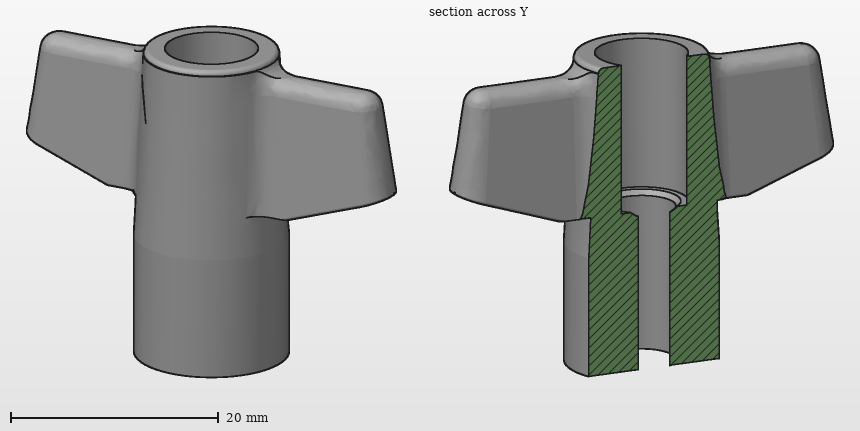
import cadquery as cq
import math

hub_height = 31.0
hub_diameter = 15.0
cylinder_height = 12.0
hub_top_diameter = 13.1
rim_radius = 0.5

bore_diameter = 6.65
bore_mouth_diameter = 7.6
bore_mouth_depth = 0.5
counterbore_diameter = 9.0
counterbore_depth = 15.0

wing_bottom = 16.0
wing_top = 29.6
bottom_half_span = 20.54
top_half_span = 18.4
bottom_half_width = 2.85
top_half_width = 1.73
bottom_tip_radius = 2.6
top_tip_radius = 1.7
crown_radius = 1.68
lower_edge_radius = 0.28

slope_start = 10.0
slope_end = 20.0
slope_rise = 3.4

root_radius = 2.4
root_blend_reach = 8.1

wing_split = 6.8

trim_margin = 4.0
tip_margin = 1.0
edge_margin = 0.1

hub_radius = hub_diameter / 2
hub_top_radius = hub_top_diameter / 2
rim_height = hub_height - rim_radius


def make_hub(extra_height):
    """Cylinder carrying a cone, with the cone continued past the hub top."""
    cone_slope = (hub_radius - hub_top_radius) / (hub_height - cylinder_height)
    end_radius = hub_top_radius - cone_slope * extra_height
    end_height = hub_height + extra_height
    return (
        cq.Workplane("XZ")
        .lineTo(hub_radius, 0)
        .lineTo(hub_radius, cylinder_height)
        .lineTo(end_radius, end_height)
        .lineTo(0, end_height)
        .close()
        .revolve(360, (0, 0, 0), (0, 1, 0))
    )


def wing_section(half_span, half_width, tip_radius):
    """Rectangle with rounded tips, spanning both wings."""
    return cq.Sketch().rect(2 * half_span, 2 * half_width).vertices().fillet(tip_radius)


def make_wings():
    """Drafted bar with a rounded crown and an underside that slopes up to each tip."""
    bar = (
        cq.Workplane("XY")
        .workplane(offset=wing_bottom)
        .placeSketch(
            wing_section(bottom_half_span, bottom_half_width, bottom_tip_radius),
            wing_section(top_half_span, top_half_width, top_tip_radius).moved(
                cq.Location(cq.Vector(0, 0, wing_top - wing_bottom))
            ),
        )
        .loft(ruled=True)
    )
    bar = bar.faces(">Z").edges().fillet(crown_radius)

    slope = slope_rise / (slope_end - slope_start)
    outer_x = bottom_half_span + tip_margin
    outer_z = wing_bottom + slope * (outer_x - slope_start)
    for side in (-1, 1):
        wedge = (
            cq.Workplane("XZ")
            .moveTo(side * slope_start, wing_bottom)
            .lineTo(side * outer_x, wing_bottom)
            .lineTo(side * outer_x, outer_z)
            .close()
            .extrude(2 * bottom_half_width, both=True)
        )
        bar = bar.cut(wedge)
    return bar


def root_edges(body):
    """Edges where the wings meet the cone, except those under the wings."""
    box = cq.selectors.BoxSelector(
        (-root_blend_reach, -hub_radius / 2, wing_bottom + edge_margin),
        (root_blend_reach, hub_radius / 2, wing_top + edge_margin),
    )
    return body.edges(box)


def round_lower_edges(body, side, inner_x):
    """Round the underside edges of one wing, from inner_x out to its tip."""
    wing_block = (
        cq.Workplane("XY")
        .box(bottom_half_span, hub_diameter, hub_height, centered=(True, True, False))
        .translate((side * (wing_split + bottom_half_span / 2), 0, 0))
    )
    wing = body.intersect(wing_block)
    underside = cq.selectors.BoxSelector(
        (side * inner_x, -hub_radius, wing_bottom - edge_margin),
        (side * bottom_half_span, hub_radius, wing_bottom + slope_rise + edge_margin),
    )
    wing = wing.edges(underside).edges("not (|Y or %CIRCLE)").fillet(lower_edge_radius)
    return body.cut(wing_block).union(wing)


def make_top_trim():
    """Ring that shapes the hub rim and the hollow curve down onto the wing crowns."""
    outer = bottom_half_span + tip_margin
    above = hub_height + trim_margin
    blend_run = root_blend_reach - hub_top_radius
    blend_rise = rim_height - wing_top
    blend_radius = (blend_run**2 + blend_rise**2) / (2 * blend_rise)
    half_angle = math.atan2(blend_rise, blend_run)
    blend_middle = (
        root_blend_reach - blend_radius * math.sin(half_angle),
        wing_top + blend_radius * (1 - math.cos(half_angle)),
    )
    rim_offset = rim_radius * (1 - math.sqrt(0.5))
    return (
        cq.Workplane("XZ")
        .moveTo(outer, wing_top)
        .lineTo(root_blend_reach, wing_top)
        .threePointArc(blend_middle, (hub_top_radius, rim_height))
        .threePointArc(
            (hub_top_radius - rim_offset, hub_height - rim_offset),
            (hub_top_radius - rim_radius, hub_height),
        )
        .lineTo(0, hub_height)
        .lineTo(0, above)
        .lineTo(outer, above)
        .close()
        .revolve(360, (0, 0, 0), (0, 1, 0))
    )


def make_bore():
    """Through bore with a tapered mouth at the floor of the counterbore."""
    floor = hub_height - counterbore_depth
    return (
        cq.Workplane("XZ")
        .lineTo(bore_diameter / 2, 0)
        .lineTo(bore_diameter / 2, floor - bore_mouth_depth)
        .lineTo(bore_mouth_diameter / 2, floor)
        .lineTo(counterbore_diameter / 2, floor)
        .lineTo(counterbore_diameter / 2, hub_height)
        .lineTo(0, hub_height)
        .close()
        .revolve(360, (0, 0, 0), (0, 1, 0))
    )


body = make_hub(trim_margin).union(make_wings())
body = root_edges(body).fillet(root_radius)
body = body.cut(make_top_trim())

body = round_lower_edges(body, side=-1, inner_x=wing_split + edge_margin)
body = round_lower_edges(body, side=1, inner_x=slope_start)

result = body.cut(make_bore()).solids()